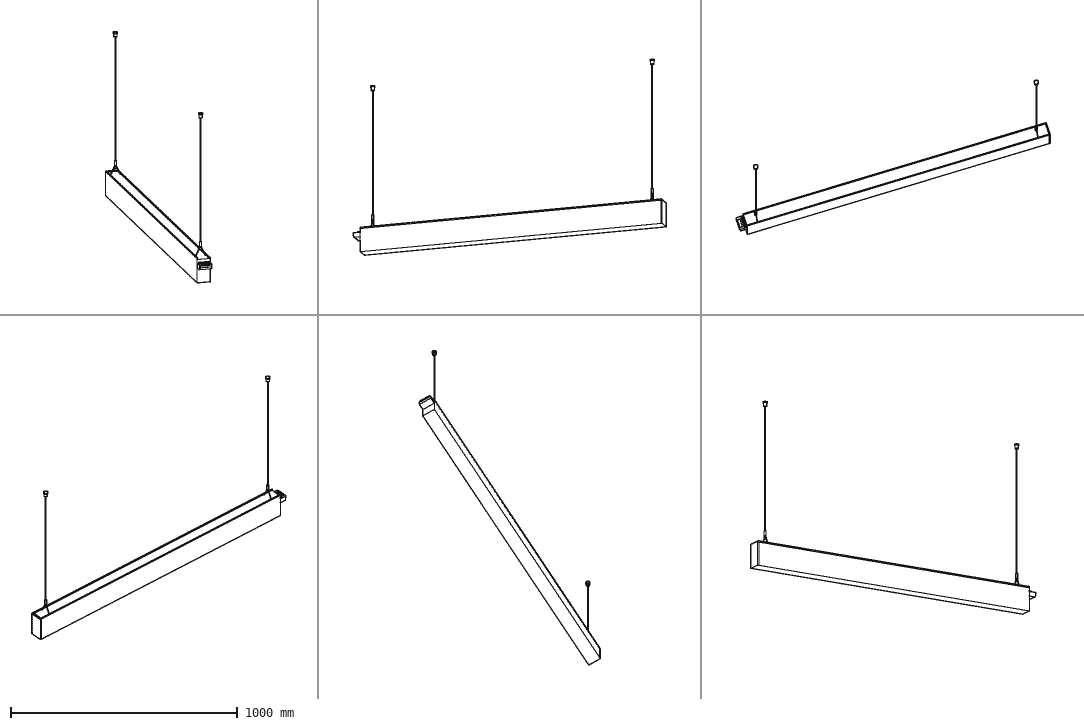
import cadquery as cq

total_length = 1440
total_height = 766.0

housing_length = 1406.0
housing_width = 60.0
housing_height = 114.0
rim_thickness = 5.0
rim_chamfer = 2.2
trough_depth = 6.0
end_cap_length = 6.0
end_cap_chamfer = 5.0
end_cap_side_gap = 0.7

suspension_inset = 56.0
suspension_spacing = 1301.0
cable_diameter = 5.0
flange_diameter = 20.0
flange_height = 5.0
cup_diameter = 16.0
cup_height = 20.0
gripper_diameter = 10.0
gripper_bottom = 138.0
gripper_height = 35.0
collar_height = 9.0
neck_diameter = 5.0
neck_height = 5.0
leg_diameter = 3.0
leg_start_offset = 5.0
leg_foot_offset = 23.0

plug_bottom = 69.0
plug_height = 22.0
plug_side_gap = 0.7
plug_tip_height = 12.0
plug_tip_rake = 6.0
plug_corner_chamfer = 5.0
rib_count = 2
rib_thickness = 5.0
rib_pitch = 9.0
rib_height = 5.0
rib_side_gap = 5.0
pocket_start = 1425.0
pocket_length = 12.0
pocket_width = 37.0
pocket_depth = 6.0

trough_floor = housing_height - trough_depth
trough_half_width = housing_width / 2 - rim_thickness
collar_top = gripper_bottom + collar_height
gripper_top = gripper_bottom + gripper_height
plug_top = plug_bottom + plug_height


def block(x_start, x_end, width, bottom, top):
    """Box centred on the XZ plane."""
    return (
        cq.Workplane("XY", origin=(x_start, 0, bottom))
        .box(x_end - x_start, width, top - bottom, centered=(False, True, False))
    )


def post(x, bottom, top, diameter):
    """Upright cylinder on the XZ plane."""
    return cq.Workplane("XY", origin=(x, 0, bottom)).circle(diameter / 2).extrude(top - bottom)


def make_housing():
    body = block(end_cap_length, housing_length, housing_width, 0, housing_height)
    body = body.edges("|X and >Z").chamfer(rim_chamfer)
    trough = block(end_cap_length, housing_length, 2 * trough_half_width, trough_floor, housing_height)
    end_cap = block(0, end_cap_length, housing_width - 2 * end_cap_side_gap, 0, housing_height)
    end_cap = end_cap.edges("<X and >Z").chamfer(end_cap_chamfer)
    return body.cut(trough).union(end_cap)


def make_leg(x, side):
    """Sloping wire from the top of the gripper collar down to the trough floor."""
    start = cq.Vector(x, side * leg_start_offset, collar_top)
    foot = cq.Vector(x, side * leg_foot_offset, trough_floor)
    path = foot - start
    return cq.Workplane(cq.Solid.makeCylinder(leg_diameter / 2, path.Length, start, path))


def make_suspension(x):
    suspension = post(x, gripper_top, total_height, cable_diameter)
    suspension = suspension.union(post(x, total_height - flange_height, total_height, flange_diameter))
    suspension = suspension.union(post(x, total_height - cup_height, total_height, cup_diameter))
    suspension = suspension.union(post(x, collar_top + neck_height, gripper_top, gripper_diameter))
    suspension = suspension.union(post(x, collar_top, collar_top + neck_height, neck_diameter))
    suspension = suspension.union(post(x, gripper_bottom, collar_top, gripper_diameter))
    for side in (-1, 1):
        suspension = suspension.union(make_leg(x, side))
    return suspension


def make_plug():
    plug_width = housing_width - 2 * plug_side_gap
    profile = [
        (housing_length, plug_bottom),
        (total_length - plug_tip_rake, plug_bottom),
        (total_length, plug_top - plug_tip_height),
        (total_length, plug_top),
        (housing_length, plug_top),
    ]
    plug = cq.Workplane("XZ").polyline(profile).close().extrude(plug_width / 2, both=True)
    plug = plug.edges("|Z and >X").chamfer(plug_corner_chamfer)
    pocket = block(
        pocket_start, pocket_start + pocket_length, pocket_width, plug_top - pocket_depth, plug_top
    )
    plug = plug.cut(pocket)
    for index in range(rib_count):
        rib_start = housing_length + index * rib_pitch
        rib_end = rib_start + rib_thickness
        rib = block(rib_start, rib_end, plug_width - 2 * rib_side_gap, plug_top, plug_top + rib_height)
        plug = plug.union(rib)
    return plug


result = make_housing().union(make_plug())
for suspension_x in (suspension_inset, suspension_inset + suspension_spacing):
    result = result.union(make_suspension(suspension_x))